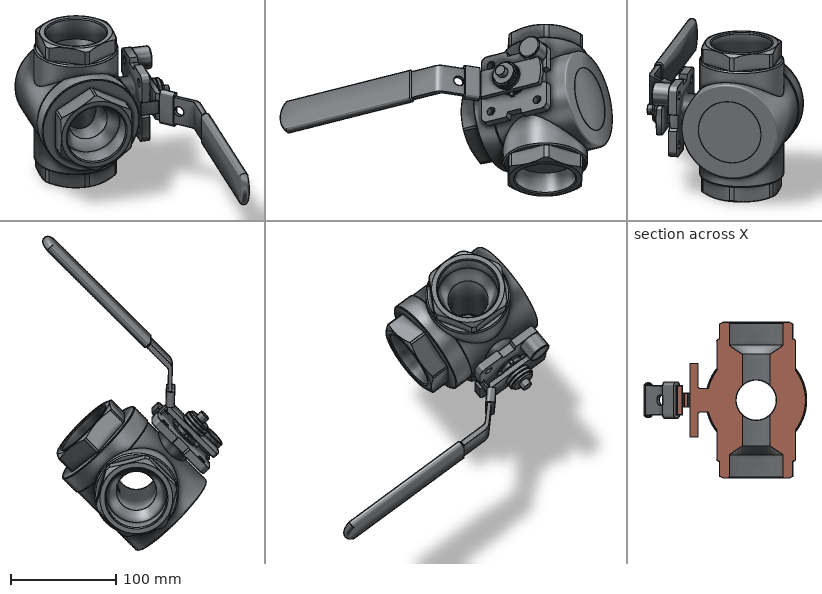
import cadquery as cq
import math


body_diameter = 94.0
body_left = -48.0
body_edge_fillet = 2.0
flange_diameter = 96.0
flange_left = 32.8
flange_right = 52.0
flange_edge_chamfer = 0.8
badge_diameter = 61.1
badge_depth = 0.3

collar_diameter = 80.0
collar_reach = 58.0
collar_edge_chamfer = 1.5
port_span = 148.0
port_reach = port_span / 2
cap_reach = 72.0
hex_flats = 69.8
port_corner_diameter = 78.0
cap_corner_diameter = 79.2
hex_face_diameter = 69.2
hex_chamfer_height = 2.5

thread_diameter = 57.8
thread_depth = 22.0
seat_depth = 30.3
waterway_diameter = 38.0
thread_lead_in = 1.0

neck_diameter = 36.0
neck_root = body_diameter / 4
neck_fillet = 1.5
plate_bottom = 55.0
plate_top = 63.0
plate_size = 70.0
plate_corner_radius = 6.0
notch_mouth = 16.5
notch_floor_width = 13.5
notch_depth = 5.0
bolt_offset = 24.7
bolt_hole_diameter = 8.0
stop_pin_diameter = 22.0
stop_pin_top = 79.5
stop_pin_chamfer = 0.8

tab_washer_bottom = 64.8
tab_washer_top = 68.5
gland_diameter = 27.0
tab_reach = 16.0
tab_washer_diameter = 26.0
side_tab_width = 3.3
end_tab_width = 13.3
spacer_diameter = 20.0
nut_diameter = 26.0
nut_top = 82.8
nut_edge_chamfer = 0.5
cap_nut_diameter = 22.0
cap_nut_top = 84.8
stem_diameter = 10.0
stem_top = 91.2

lever_width = 27.8
lever_thickness = 5.0
lever_corner_radius = 2.2
lever_bottom = 70.0
lever_top = lever_bottom + lever_thickness
lever_left = -35.0
lever_nose = 2.2
first_bend_x = 28.3
second_bend_x = 57.2
bend_radius = 8.3
slope_thinning = 2.0
slope_hole_diameter = 10.0
slope_hole_y = 90.0
grip_left = 87.8
grip_right = 229.8
grip_width = 33.0
grip_thickness = 8.3
grip_top = 106.7
grip_edge_fillet = 4.0
grip_mouth_chamfer = 1.5
grip_nose = 7.5

lock_width = 34.7
lock_thickness = 8.0
lock_length = 14.7
lock_start = 4.2
lock_edge_fillet = 3.5
tongue_thickness = 2.0
tongue_x = 31.5
tongue_width = 13.3


def disc(diameter, bottom, top):
    """Cylinder on the stem axis between two heights along Y."""
    base = cq.Workplane("XZ", origin=(0, bottom, 0))
    return base.circle(diameter / 2).extrude(bottom - top)


def box(x_range, y_range, z_width):
    """Box given by its X and Y ranges, centred on Z = 0."""
    (x0, x1), (y0, y1) = x_range, y_range
    return cq.Workplane("XY").box(x1 - x0, y1 - y0, z_width).translate(((x0 + x1) / 2, (y0 + y1) / 2, 0))


def hex_end(base, face, corner_diameter):
    """Hexagon along +Z with trimmed corners, a chamfered end face and flats facing +Y and -Y."""
    height = face - base
    across_corners = hex_flats / math.cos(math.pi / 6)
    prism = cq.Workplane("XY", origin=(0, 0, base)).polygon(6, across_corners).extrude(height)
    turned = (
        cq.Workplane("XZ")
        .moveTo(0, base)
        .lineTo(corner_diameter / 2, base)
        .lineTo(corner_diameter / 2, face - hex_chamfer_height)
        .lineTo(hex_face_diameter / 2, face)
        .lineTo(0, face)
        .close()
        .revolve(360, (0, 0), (0, 1))
    )
    return prism.intersect(turned)


def bore(face):
    """Threaded socket, seat cone and waterway from an end face down to the origin, along Z."""
    return (
        cq.Workplane("XZ")
        .moveTo(0, 0)
        .lineTo(waterway_diameter / 2, 0)
        .lineTo(waterway_diameter / 2, face - seat_depth)
        .lineTo(thread_diameter / 2, face - thread_depth)
        .lineTo(thread_diameter / 2, face - thread_lead_in)
        .lineTo(thread_diameter / 2 + thread_lead_in, face)
        .lineTo(0, face)
        .close()
        .revolve(360, (0, 0), (0, 1))
    )


def to_side(shape):
    """Turn a shape built along +Z so that it points along +X."""
    return shape.rotate((0, 0, 0), (0, 1, 0), 90)


def to_bottom(shape):
    """Turn a shape built along +Z so that it points along -Z."""
    return shape.rotate((0, 0, 0), (1, 0, 0), 180)


def valve_body():
    """Barrel, flange and collars with the three hexagonal ends and their joined bores."""
    end_plane = cq.Workplane("YZ", origin=(body_left, 0, 0))
    barrel = end_plane.circle(body_diameter / 2).extrude(flange_left - body_left)
    barrel = barrel.faces("<X").edges().fillet(body_edge_fillet)
    badge = end_plane.circle(badge_diameter / 2).extrude(badge_depth)

    flange = cq.Workplane("YZ", origin=(flange_left, 0, 0)).circle(flange_diameter / 2)
    flange = flange.extrude(flange_right - flange_left).edges().chamfer(flange_edge_chamfer)

    collars = cq.Workplane("XY").circle(collar_diameter / 2).extrude(collar_reach, both=True)
    collars = collars.edges().chamfer(collar_edge_chamfer)

    port = hex_end(collar_reach, port_reach, port_corner_diameter)
    side_port = to_side(hex_end(flange_right, cap_reach, cap_corner_diameter))

    solid = barrel.cut(badge).union(flange).union(collars)
    solid = solid.union(port).union(to_bottom(port)).union(side_port)
    port_bore = bore(port_reach)
    return solid.cut(port_bore).cut(to_bottom(port_bore)).cut(to_side(bore(cap_reach)))


def mounting_plate():
    """Square plate with edge notches and bolt holes, on the stem neck, with the lever stop pin."""
    plate = box((-plate_size / 2, plate_size / 2), (plate_bottom, plate_top), plate_size)
    plate = plate.edges("|Y").fillet(plate_corner_radius)
    notch_floor = plate_size / 2 - notch_depth
    notch = (
        cq.Workplane("XZ", origin=(0, plate_bottom, 0))
        .moveTo(notch_floor, -notch_floor_width / 2)
        .lineTo(plate_size / 2, -notch_mouth / 2)
        .lineTo(plate_size / 2, notch_mouth / 2)
        .lineTo(notch_floor, notch_floor_width / 2)
        .close()
        .extrude(plate_bottom - plate_top)
    )
    for quarter in range(4):
        plate = plate.cut(notch.rotate((0, 0, 0), (0, 1, 0), 90 * quarter))
    hole = disc(bolt_hole_diameter, plate_bottom, plate_top)
    for x in (-bolt_offset, bolt_offset):
        for z in (-bolt_offset, bolt_offset):
            plate = plate.cut(hole.translate((x, 0, z)))
    neck_edge = cq.selectors.NearestToPointSelector((0, plate_bottom, 0))
    plate = plate.union(disc(neck_diameter, neck_root, plate_bottom))
    plate = plate.edges(neck_edge).fillet(neck_fillet)
    stop_pin = disc(stop_pin_diameter, plate_top, stop_pin_top).faces(">Y").chamfer(stop_pin_chamfer)
    return plate.union(stop_pin.translate((-bolt_offset, 0, bolt_offset)))


def stem_stack():
    """Gland, tab washer, spacer, two nuts, cap nut and stem end."""
    washer_range = (tab_washer_bottom, tab_washer_top)
    side_tabs = box((-tab_reach, tab_reach), washer_range, side_tab_width).rotate((0, 0, 0), (0, 1, 0), 90)
    end_tabs = box((-tab_reach, tab_reach), washer_range, end_tab_width)
    stack = disc(gland_diameter, plate_top, tab_washer_bottom)
    stack = stack.union(disc(tab_washer_diameter, *washer_range)).union(side_tabs).union(end_tabs)
    stack = stack.union(disc(spacer_diameter, tab_washer_top, lever_top))
    nut_joint = (lever_top + nut_top) / 2
    for bottom, top in ((lever_top, nut_joint), (nut_joint, nut_top)):
        stack = stack.union(disc(nut_diameter, bottom, top).edges().chamfer(nut_edge_chamfer))
    stack = stack.union(disc(cap_nut_diameter, nut_top, cap_nut_top))
    return stack.union(disc(stem_diameter, cap_nut_top, stem_top))


low_y = lever_bottom + lever_thickness / 2
high_y = grip_top - grip_thickness / 2
slope = math.atan2(high_y - low_y, second_bend_x - first_bend_x)


def lever_blade():
    """Flat bar cranked up between two rounded bends."""
    half = lever_thickness / 2
    shift = half * math.tan(slope / 2)
    upper_first_x = first_bend_x - shift + slope_thinning
    upper_second_x = second_bend_x - shift + slope_thinning
    blade = (
        cq.Workplane("XY")
        .moveTo(0, low_y - half)
        .lineTo(first_bend_x + shift, low_y - half)
        .lineTo(second_bend_x + shift, high_y - half)
        .lineTo(grip_left, high_y - half)
        .lineTo(grip_left, high_y + half)
        .lineTo(upper_second_x, high_y + half)
        .lineTo(upper_first_x, low_y + half)
        .lineTo(0, low_y + half)
        .close()
        .extrude(lever_width / 2, both=True)
    )
    nose_start = lever_left + lever_nose
    rear_end = (
        cq.Workplane("XZ", origin=(0, lever_top, 0))
        .moveTo(0, -lever_width / 2)
        .lineTo(nose_start, -lever_width / 2)
        .threePointArc((lever_left, 0), (nose_start, lever_width / 2))
        .lineTo(0, lever_width / 2)
        .close()
        .extrude(lever_thickness)
    )
    rear_end = rear_end.edges("|Y").edges("<X").fillet(lever_corner_radius)
    inner_bend = cq.selectors.NearestToPointSelector((second_bend_x + shift, high_y - half, 0))
    outer_bend = cq.selectors.NearestToPointSelector((upper_second_x, high_y + half, 0))
    blade = blade.edges(inner_bend).fillet(bend_radius - half)
    blade = blade.edges(outer_bend).fillet(bend_radius + half).union(rear_end)
    slope_hole_x = first_bend_x + (slope_hole_y - low_y) / math.tan(slope)
    hole = cq.Workplane("XZ").circle(slope_hole_diameter / 2).extrude(lever_thickness, both=True)
    hole = hole.rotate((0, 0, 0), (0, 0, 1), math.degrees(slope)).translate((slope_hole_x, slope_hole_y, 0))
    return blade.cut(hole)


def grip():
    """Sleeve with rounded long edges and an arched tip."""
    half = grip_width / 2
    shoulder = grip_right - grip_nose
    sleeve = (
        cq.Workplane("XZ", origin=(0, grip_top, 0))
        .moveTo(grip_left, -half)
        .lineTo(shoulder, -half)
        .threePointArc((grip_right, 0), (shoulder, half))
        .lineTo(grip_left, half)
        .close()
        .extrude(grip_thickness)
    )
    sleeve = sleeve.faces("|Y").edges("not(<X)").fillet(grip_edge_fillet)
    return sleeve.faces("<X").chamfer(grip_mouth_chamfer)


def lever_lock():
    """Sliding block around the sloped bar, with a tongue dropping into the plate notch."""
    block = cq.Workplane("XY").box(lock_length, lock_thickness, lock_width)
    block = block.edges("|X").fillet(lock_edge_fillet)
    block = block.translate((lock_start + lock_length / 2, 0, 0))
    block = block.rotate((0, 0, 0), (0, 0, 1), math.degrees(slope)).translate((first_bend_x, low_y, 0))
    tongue_half = tongue_thickness / 2
    tongue = box((tongue_x - tongue_half, tongue_x + tongue_half), (plate_bottom, low_y), tongue_width)
    return block.union(tongue)


result = (
    valve_body()
    .union(mounting_plate())
    .union(stem_stack())
    .union(lever_blade())
    .union(grip())
    .union(lever_lock())
)